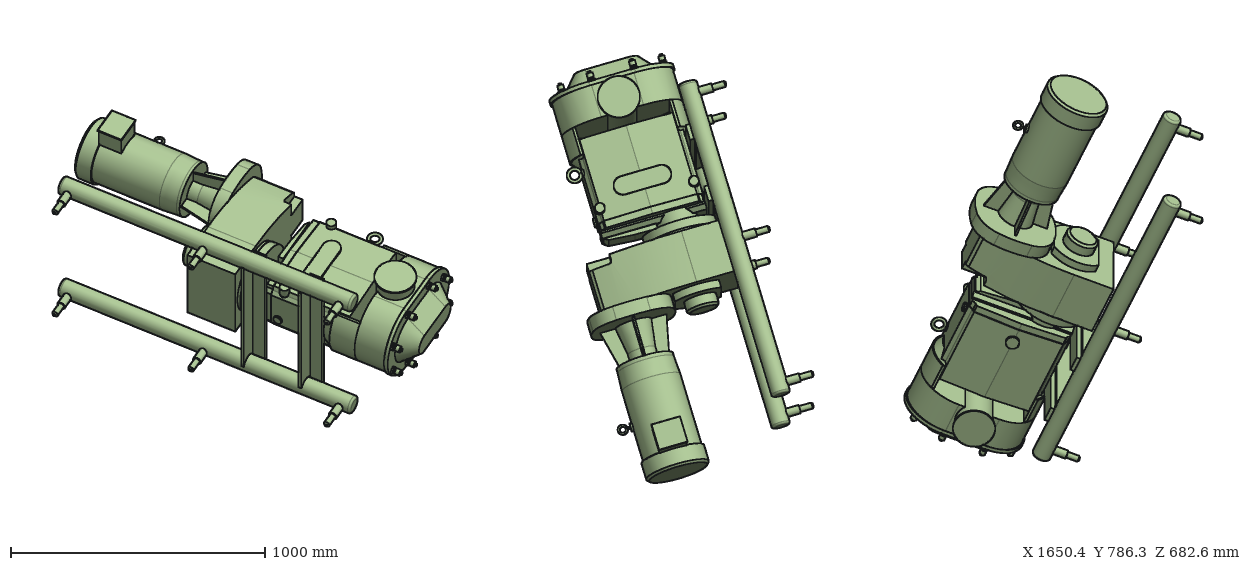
import cadquery as cq
import math

motor_y = 280.7
pump_y = 90.3
lobe_offset = 87.0
rail_y = -178.8

motor_length = 467.0
fan_cover_dia = 258.57
fan_cover_length = 76.0
fan_cover_chamfer = 10.0
motor_dia = 241.58
motor_nose_start = 378.0
motor_nose_dia = 232.99
motor_nose_end = 452.0
box_start_x, box_end_x = 72.0, 173.0
box_width = 112.0
box_top_z = 199.0
box_base_z = 112.0
box_lid_height = 6.0
box_lid_overhang = 3.0
motor_eye_x = 227.0
motor_eye_top_y = 462.27
motor_eye_dia = 42.0
motor_eye_bar = 9.5

lantern_flange_start = 624.0
reducer_start = 681.0
reducer_end = 895.0
reducer_half_height = 170.5
reducer_low_y = -165.0
reducer_taper_y = 5.0
reducer_top_y = 393.0
output_flange_end = 944.0
output_flange_dia = 299.97
bearing_cap_dia = 132.0
bearing_cap_start = 600.0
bearing_plate_start = 649.0
bearing_plate_dia = 250.0
bearing_plate_top_y, bearing_plate_low_y = 102.5, -87.0

coupling_dia = 166.88
case_wall_x = 1003.0
case_end_x = 1373.0
case_half_width = 214.5
case_ridge_z = 126.0
head_start_x = 1425.0
head_end_x = 1560.0
head_lobe_radius = 161.5
cover_rim_end = 1577.0
machine_length = 1650.44

frame_height = 682.62
rail_dia = 76.2
rail_start_x, rail_end_x = 126.0, 1434.0
foot_tip_y = -324.0


def x_cylinder(x_start, x_end, dia, y=0.0, z=0.0):
    plane = cq.Plane(origin=(x_start, y, z), xDir=(0, 1, 0), normal=(1, 0, 0))
    return cq.Workplane(plane).circle(dia / 2).extrude(x_end - x_start)


def x_cone(x_start, x_end, dia_start, dia_end, y=0.0):
    profile = [(x_start, 0), (x_end, 0), (x_end, dia_end / 2), (x_start, dia_start / 2)]
    cone = cq.Workplane("XY").polyline(profile).close().revolve(360, (0, 0, 0), (1, 0, 0))
    return cone.translate((0, y, 0))


def block(x_range, y_range, z_range):
    sizes = [high - low for low, high in (x_range, y_range, z_range)]
    return cq.Workplane("XY").box(*sizes, centered=False).translate((x_range[0], y_range[0], z_range[0]))


def pump_obround(x_start, x_end, radius):
    """Bar along X whose section is two pump lobes joined by flats."""
    return (
        cq.Workplane("YZ", origin=(x_start, pump_y, 0))
        .slot2D(2 * (lobe_offset + radius), 2 * radius)
        .extrude(x_end - x_start)
    )


def pump_obround_cone(x_start, x_end, radius_start, radius_end):
    """Bar along X whose lobe radius changes evenly from one end to the other."""
    lobe_y = (pump_y - lobe_offset, pump_y + lobe_offset)
    shape = x_cone(x_start, x_end, 2 * radius_start, 2 * radius_end, lobe_y[0])
    shape = shape.union(x_cone(x_start, x_end, 2 * radius_start, 2 * radius_end, lobe_y[1]))
    side = [(x_start, -radius_start), (x_end, -radius_end), (x_end, radius_end), (x_start, radius_start)]
    middle = cq.Workplane("XZ", origin=(0, lobe_y[1], 0)).polyline(side).close().extrude(2 * lobe_offset)
    return shape.union(middle)


def eye_bolt(x, top_y, eye_dia, bar_dia, seat_y, collar_dia, collar_height, z=0.0):
    """Lifting eye lying in the XY plane, on a stem with a collar that sits at seat_y."""
    ring_radius = (eye_dia - bar_dia) / 2
    ring_y = top_y - eye_dia / 2
    ring = cq.Workplane("XY").add(cq.Solid.makeTorus(ring_radius, bar_dia / 2))
    ring = ring.translate((x, ring_y, z))
    down = cq.Plane(origin=(x, ring_y - ring_radius, z), xDir=(1, 0, 0), normal=(0, -1, 0))
    stem = cq.Workplane(down).circle(bar_dia / 2).extrude(ring_y - ring_radius - seat_y)
    seat = cq.Plane(origin=(x, seat_y, z), xDir=(1, 0, 0), normal=(0, 1, 0))
    collar = cq.Workplane(seat).circle(collar_dia / 2).extrude(collar_height)
    return ring.union(stem).union(collar)


def make_motor():
    cover = x_cylinder(0, fan_cover_length, fan_cover_dia, motor_y).faces("<X").chamfer(fan_cover_chamfer)
    body = x_cylinder(fan_cover_length, motor_nose_start, motor_dia, motor_y)
    nose = x_cone(motor_nose_start, motor_nose_end, motor_dia, motor_nose_dia, motor_y)
    front_ring = x_cylinder(motor_nose_end, motor_length, motor_nose_dia, motor_y)
    motor = cover.union(body).union(nose).union(front_ring)

    half = box_width / 2
    box = block((box_start_x, box_end_x), (motor_y - half, motor_y + half), (box_base_z, box_top_z))
    lid_half = half + box_lid_overhang
    lid = block(
        (box_start_x - box_lid_overhang, box_end_x + box_lid_overhang),
        (motor_y - lid_half, motor_y + lid_half),
        (box_top_z - box_lid_height, box_top_z),
    )
    neck_inset = 10.0
    neck_half = half - neck_inset
    neck_depth = 40.0
    neck = block(
        (box_start_x + neck_inset, box_end_x),
        (motor_y - neck_half, motor_y + neck_half),
        (box_base_z - neck_depth, box_base_z),
    )
    motor = motor.union(box).union(lid).union(neck)

    seat_sink = 3.0
    seat_y = motor_y + motor_dia / 2 - seat_sink
    collar_dia, collar_height = 34.0, 11.0
    eye = eye_bolt(
        motor_eye_x, motor_eye_top_y, motor_eye_dia, motor_eye_bar, seat_y, collar_dia, collar_height
    )
    return motor.union(eye)


def make_lantern():
    """Ribbed cone between motor and reducer, ending in a rounded square flange."""
    core_dia = 114.0
    cone_start = 512.0
    cone_end_dia = 148.0
    core = x_cylinder(motor_length, cone_start, core_dia, motor_y)
    core = core.union(x_cone(cone_start, lantern_flange_start, core_dia, cone_end_dia, motor_y))

    rib_thickness = 8.0
    rib_start_reach = 101.0
    rib_end_reach = 136.0
    rib_profile = [
        (motor_length, -rib_start_reach),
        (lantern_flange_start, -rib_end_reach),
        (lantern_flange_start, rib_end_reach),
        (motor_length, rib_start_reach),
    ]
    rib_pair = cq.Workplane("XY").polyline(rib_profile).close().extrude(rib_thickness / 2, both=True)
    for angle in (0, 90):
        core = core.union(rib_pair.rotate((0, 0, 0), (1, 0, 0), angle).translate((0, motor_y, 0)))

    side_half = 70.0
    side_end = 166.0
    side_crown = 173.5
    corner = 133.0
    flange = (
        cq.Workplane("YZ", origin=(lantern_flange_start, motor_y, 0))
        .moveTo(-side_half, side_end)
        .threePointArc((0, side_crown), (side_half, side_end))
        .threePointArc((corner, corner), (side_end, side_half))
        .threePointArc((side_crown, 0), (side_end, -side_half))
        .threePointArc((corner, -corner), (side_half, -side_end))
        .threePointArc((0, -side_crown), (-side_half, -side_end))
        .threePointArc((-corner, -corner), (-side_end, -side_half))
        .threePointArc((-side_crown, 0), (-side_end, side_half))
        .threePointArc((-corner, corner), (-side_half, side_end))
        .close()
        .extrude(reducer_start - lantern_flange_start)
    )
    return core.union(flange)


def make_housing():
    """Gear housing: square below the output shaft, its top and bottom faces curving together above it."""
    face_radius = 950.0
    curve_end_y = 380.0
    end_bevel = 13.0

    def face_z(y):
        run = y - reducer_taper_y
        return reducer_half_height - face_radius + math.sqrt(face_radius**2 - run**2)

    middle_y = (reducer_taper_y + curve_end_y) / 2
    end_z = face_z(curve_end_y)
    housing = (
        cq.Workplane("YZ", origin=(reducer_start, 0, 0))
        .moveTo(reducer_low_y, -reducer_half_height)
        .lineTo(reducer_taper_y, -reducer_half_height)
        .threePointArc((middle_y, -face_z(middle_y)), (curve_end_y, -end_z))
        .lineTo(reducer_top_y, end_bevel - end_z)
        .lineTo(reducer_top_y, end_z - end_bevel)
        .lineTo(curve_end_y, end_z)
        .threePointArc((middle_y, face_z(middle_y)), (reducer_taper_y, reducer_half_height))
        .lineTo(reducer_low_y, reducer_half_height)
        .close()
        .extrude(reducer_end - reducer_start)
    )

    notch_start_x = 858.0
    notch_low_y = 299.0
    notch_floor_z = 60.0
    notch_corner_radius = 14.0
    notch = block(
        (notch_start_x, reducer_end), (notch_low_y, reducer_top_y), (notch_floor_z, reducer_half_height)
    )
    notch = notch.edges("|Z and <X and <Y").fillet(notch_corner_radius)
    return housing.cut(notch).cut(notch.mirror("XY"))


def make_reducer():
    plate = x_cylinder(bearing_plate_start, reducer_start, bearing_plate_dia)
    plate_radius = bearing_plate_dia / 2
    plate = plate.intersect(
        block(
            (bearing_plate_start, reducer_start),
            (bearing_plate_low_y, bearing_plate_top_y),
            (-plate_radius, plate_radius),
        )
    )
    cap_chamfer = 10.0
    cap = x_cylinder(bearing_cap_start, bearing_plate_start, bearing_cap_dia)
    cap = cap.faces("<X").chamfer(cap_chamfer)
    step_end = 908.0
    step_dia = 296.0
    output_flange = x_cylinder(step_end, output_flange_end, output_flange_dia)
    output_flange = output_flange.union(x_cylinder(reducer_end, step_end, step_dia))
    return make_lantern().union(make_housing()).union(plate).union(cap).union(output_flange)


def case_section(x_start, x_end, inset):
    """Length of gear case with roof-shaped top and bottom and bevelled long edges."""
    roof_edge_y, roof_edge_z = 191.0, 113.0
    shoulder_y, shoulder_z = 200.0, 97.0
    side_half_height = 81.0
    quarter = [
        (0, case_ridge_z - inset),
        (roof_edge_y, roof_edge_z - inset),
        (shoulder_y - inset, shoulder_z),
        (case_half_width - inset, side_half_height),
    ]
    right = quarter + [(y, -z) for y, z in reversed(quarter)]
    left = [(-y, -z) for y, z in right[1:-1]]
    section = cq.Workplane("YZ", origin=(x_start, pump_y, 0)).polyline(right + left).close()
    return section.extrude(x_end - x_start)


def add_plugs(case):
    """Screw plugs at two corners of the top, on both sides and underneath."""
    plug_x = 1082.0
    plug_offset = 193.0
    plug_dia = 40.0
    plug_top_z = 134.0
    plug_base_z = 97.0
    boss_low_z = 80.0
    boss_low_dia = 24.0
    side_plug_x, side_plug_z = 1065.0, -45.0
    side_plug_dia = 36.0
    side_plug_reach = case_half_width + 8.0
    profile = [
        (0, boss_low_z),
        (boss_low_dia / 2, boss_low_z),
        (plug_dia / 2, plug_base_z),
        (plug_dia / 2, plug_top_z),
        (0, plug_top_z),
    ]
    plug = cq.Workplane("XZ").polyline(profile).close().revolve(360, (0, 0, 0), (0, 1, 0))
    for side in (-1, 1):
        case = case.union(plug.translate((plug_x, pump_y + side * plug_offset, 0)))
    side_plugs = (
        cq.Workplane("XZ", origin=(side_plug_x, pump_y, side_plug_z))
        .circle(side_plug_dia / 2)
        .extrude(side_plug_reach, both=True)
    )
    drain_plug_x, drain_plug_dia = 1093.0, 54.0
    drain_plug = (
        cq.Workplane("XY", origin=(drain_plug_x, pump_y, -plug_top_z))
        .circle(drain_plug_dia / 2)
        .extrude(plug_top_z)
    )
    return case.union(side_plugs).union(drain_plug)


def make_gear_case():
    """Pump gear case with its drive coupling, bearing cover and two arms that carry the pump head."""
    rim_end_x = 1032.0
    rim_inset = 4.0
    case = case_section(rim_end_x, case_end_x, 0).union(case_section(case_wall_x, rim_end_x, rim_inset))

    rear_cover_x = 975.0
    rear_half_height = 70.0
    rear_slope = 20.0
    rear_cover = (
        block(
            (rear_cover_x, case_wall_x),
            (pump_y - case_half_width, pump_y + case_half_width),
            (-rear_half_height, rear_half_height),
        )
        .edges("|Y and <X")
        .chamfer(rear_slope)
    )

    coupling = x_cylinder(output_flange_end, case_wall_x, coupling_dia)
    bearing_half_height = 60.0
    bearing_low_y = coupling_dia / 2
    bearing_outline = [
        (953.0, bearing_low_y),
        (955.0, 178.0),
        (963.0, 283.0),
        (rear_cover_x, 300.0),
        (rear_cover_x, bearing_low_y),
    ]
    bearing = cq.Workplane("XY").polyline(bearing_outline).close().extrude(bearing_half_height, both=True)
    case = case.union(rear_cover).union(coupling).union(bearing)

    pad_x = 1144.5
    pad_length, pad_width = 234.0, 75.0
    pad_top_z = 131.0
    pad = cq.Workplane("XY", origin=(pad_x, pump_y, 0)).slot2D(pad_length, pad_width, 90).extrude(pad_top_z)
    case = add_plugs(case.union(pad))

    arm_start = 1312.0
    arm_lead_start = 1272.0
    arm_half_height = 111.0
    arms = pump_obround(arm_start, head_start_x, head_lobe_radius)
    lead_start_radius, lead_end_radius = 135.0, 156.0
    arm_inner_offset = 193.0
    arm_outer_offset = lobe_offset + head_lobe_radius
    arms = arms.union(pump_obround_cone(arm_lead_start, arm_start, lead_start_radius, lead_end_radius))
    for side in (-1, 1):
        y_range = sorted((pump_y + side * arm_inner_offset, pump_y + side * arm_outer_offset))
        window = block((arm_lead_start, head_start_x), y_range, (-arm_half_height, arm_half_height))
        case = case.union(arms.intersect(window))

    eye_seat_sink = 5.0
    eye_seat_y = pump_y + case_half_width - eye_seat_sink
    eye_x, eye_top_y, eye_z = 1248.0, 370.0, 71.0
    eye_dia, eye_bar = 64.0, 14.0
    collar_dia, collar_height = 34.0, 9.0
    eye = eye_bolt(eye_x, eye_top_y, eye_dia, eye_bar, eye_seat_y, collar_dia, collar_height, eye_z)
    return case.union(eye)


def make_pump_head():
    head = pump_obround(head_start_x, head_end_x, head_lobe_radius)
    port_x = 1473.5
    port_half_span = 216.0
    port_dia = 152.4
    port_flange_dia = 166.88
    port_flange_thickness = 6.4
    column = cq.Workplane("XY", origin=(port_x, pump_y, -port_half_span))
    head = head.union(column.circle(port_dia / 2).extrude(2 * port_half_span))
    for z in (-port_half_span, port_half_span - port_flange_thickness):
        flange = cq.Workplane("XY", origin=(port_x, pump_y, z))
        head = head.union(flange.circle(port_flange_dia / 2).extrude(port_flange_thickness))
    return head


def make_pump_cover():
    rim_half_width = 255.0
    rim_half_height = 160.0
    cover = (
        cq.Workplane("YZ", origin=(head_end_x, pump_y, 0))
        .slot2D(2 * rim_half_width, 2 * rim_half_height)
        .extrude(cover_rim_end - head_end_x)
    )
    dome_base_radius = 108.0
    dome_tip_radius = 45.0
    cover = cover.union(pump_obround_cone(cover_rim_end, machine_length, dome_base_radius, dome_tip_radius))

    stud_shift = 7.5
    stud_centre_y = pump_y - stud_shift
    stud_ring_radius = 139.0
    stud_end_x, stud_dia = 1619.0, 12.7
    washer_end_x, washer_dia = 1585.0, 29.08
    nut_start_x, nut_end_x, nut_dia = 1592.0, 1612.0, 25.4
    for side in (-1, 1):
        for angle in (30, -30, 90, -90):
            y = stud_centre_y + side * (lobe_offset + stud_ring_radius * math.cos(math.radians(angle)))
            z = stud_ring_radius * math.sin(math.radians(angle))
            cover = cover.union(x_cylinder(cover_rim_end, stud_end_x, stud_dia, y, z))
            cover = cover.union(x_cylinder(cover_rim_end, washer_end_x, washer_dia, y, z))
            cover = cover.union(x_cylinder(nut_start_x, nut_end_x, nut_dia, y, z))
    return cover


def make_frame():
    rail_z = (frame_height - rail_dia) / 2
    rail_end_round = 10.0
    foot_xs = (171.0, 779.0, 1387.0)
    foot_dia = 35.0
    foot_shoulder_y = -268.0
    toe_dia = 25.4
    toe_chamfer = 6.0
    frame = cq.Workplane("XY")
    for z in (-rail_z, rail_z):
        rail = x_cylinder(rail_start_x, rail_end_x, rail_dia, rail_y, z)
        rail = rail.faces("<X or >X").edges().fillet(rail_end_round)
        for x in foot_xs:
            down = cq.Plane(origin=(x, rail_y, z), xDir=(1, 0, 0), normal=(0, -1, 0))
            leg = cq.Workplane(down).circle(foot_dia / 2).extrude(rail_y - foot_shoulder_y)
            toe = cq.Workplane(down).circle(toe_dia / 2).extrude(rail_y - foot_tip_y)
            toe = toe.faces("<Y").chamfer(toe_chamfer)
            rail = rail.union(leg).union(toe)
        frame = frame.add(rail)

    top_y = pump_y - case_half_width
    rail_overlap = 2.0
    flange_low_y = rail_y + rail_dia / 2 - rail_overlap
    flange_width = 62.0
    flange_half_length = 306.0
    web_low_y = -217.0
    web_thickness = 12.0
    flange_setback = 3.0
    bend_y = -149.5
    crossbars = ((949.0, 293.0), (1206.0, 281.0))
    for x, web_half_length in crossbars:
        flange_start = x + flange_setback
        flange = block(
            (flange_start, flange_start + flange_width),
            (flange_low_y, top_y),
            (-flange_half_length, flange_half_length),
        )
        web_outline = [
            (x, web_low_y),
            (x, bend_y),
            (flange_start, flange_low_y),
            (x + web_thickness, flange_low_y),
            (x + web_thickness, web_low_y),
        ]
        web = cq.Workplane("XY").polyline(web_outline).close().extrude(web_half_length, both=True)
        frame = frame.add(flange).add(web)
    return frame.combine()


motor = make_motor()
reducer = make_reducer()
gear_case = make_gear_case()
pump_head = make_pump_head()
pump_cover = make_pump_cover()
frame = make_frame()

bodies = [motor, reducer, gear_case, pump_head, pump_cover, frame]
result = cq.Compound.makeCompound([body.solids().val() for body in bodies])